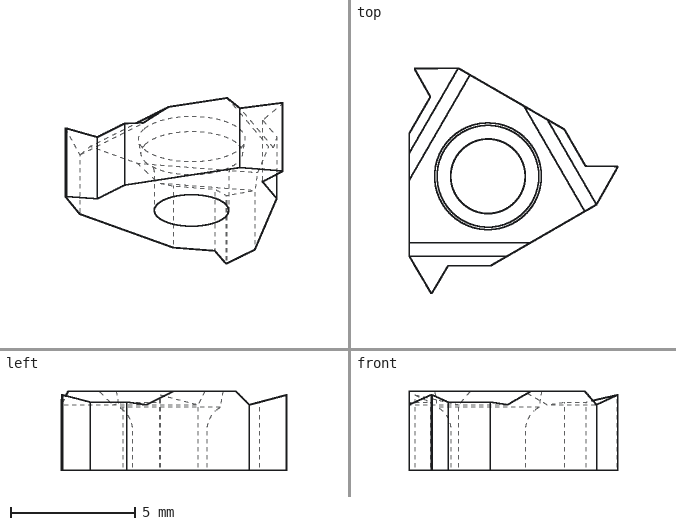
import cadquery as cq
import math

height = 3.18
tooth_count = 3
side_distance = 3.17

valley_distance = 3.21
land_distance = 3.61
tip_distance = 4.71
tip_width = 0.045
tip_rise = 0.03
flank_angle = math.radians(59.5)

groove_depth = 0.54
groove_width = 0.54
tip_drop = 0.145

mouth_radius = 2.15
seat_radius = 2.05
bore_radius = 1.495
seat_depth = 0.625
bore_depth = 1.58


def rotate_point(point, angle):
    x, y = point
    return (
        x * math.cos(angle) - y * math.sin(angle),
        x * math.sin(angle) + y * math.cos(angle),
    )


def tooth_points():
    """Outline of the tooth toward -Y, from the left side to the next long side."""
    root_x = -side_distance
    tip_left_x = root_x + (tip_distance - valley_distance) / math.tan(flank_angle)
    tip_right_x = tip_left_x + tip_width
    land_rise = tip_distance - tip_rise - land_distance
    land_start_x = tip_right_x + land_rise / math.tan(flank_angle)
    pitch = 2 * math.pi / tooth_count
    normal_x, normal_y = rotate_point((-1, 0), pitch)
    land_end_x = (side_distance + land_distance * normal_y) / normal_x
    return [
        (root_x, -valley_distance),
        (tip_left_x, -tip_distance),
        (tip_right_x, -tip_distance + tip_rise),
        (land_start_x, -land_distance),
        (land_end_x, -land_distance),
    ]


def make_body():
    points = []
    for index in range(tooth_count):
        angle = index * 2 * math.pi / tooth_count
        points += [rotate_point(point, angle) for point in tooth_points()]
    return cq.Workplane("XY").polyline(points).close().extrude(height)


def make_groove():
    """V-shaped cutter along X: a steep inner wall and a ramp rising to the tip."""
    valley_z = height - groove_depth
    ramp_slope = (groove_depth - tip_drop) / (tip_distance - valley_distance)
    ramp_end = valley_distance + groove_depth / ramp_slope
    profile = [
        (-valley_distance + groove_width, height),
        (-valley_distance, valley_z),
        (-ramp_end, height),
    ]
    half_length = 2 * side_distance
    return cq.Workplane("YZ").polyline(profile).close().extrude(half_length, both=True)


def make_hole():
    """Tapered mouth, then a convex rounded seat tangent to the bore."""
    seat_z = height - seat_depth
    bore_z = height - bore_depth
    run = seat_radius - bore_radius
    rise = seat_z - bore_z
    seat_curve = (run**2 + rise**2) / (2 * run)
    half_sweep = math.asin(rise / seat_curve) / 2
    middle = (
        bore_radius + seat_curve * (1 - math.cos(half_sweep)),
        bore_z + seat_curve * math.sin(half_sweep),
    )
    return (
        cq.Workplane("XZ")
        .lineTo(bore_radius, 0)
        .lineTo(bore_radius, bore_z)
        .threePointArc(middle, (seat_radius, seat_z))
        .lineTo(mouth_radius, height)
        .lineTo(0, height)
        .close()
        .revolve(360, (0, 0, 0), (0, 1, 0))
    )


result = make_body().cut(make_hole())
for index in range(tooth_count):
    turn = index * 360 / tooth_count
    result = result.cut(make_groove().rotate((0, 0, 0), (0, 0, 1), turn))